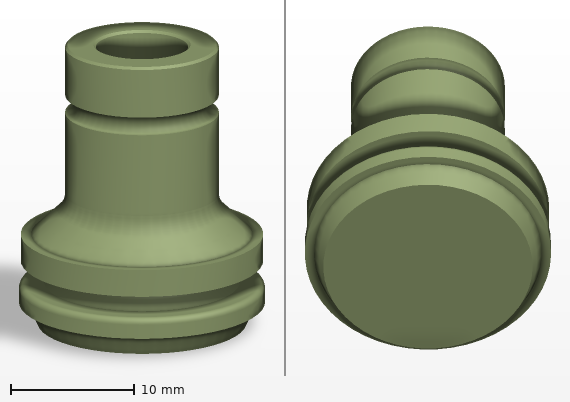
import cadquery as cq
import math

total_height = 23.66

foot_bottom_radius = 8.5
foot_top_radius = 9.25
foot_height = 1.75

lower_flange_radius = 20.0 / 2
lower_flange_top = 3.45
lower_flange_round = 0.5

throat_radius = 6.3
throat_round = 0.65
waist_cone_bottom_radius = 7.95

upper_flange_radius = 19.7 / 2
upper_flange_bottom = 5.28
upper_flange_top = 7.55

shoulder_bottom_radius = 9.0
shoulder_fillet = 2.0
shoulder_fillet_top = 11.03

neck_radius = 12.5 / 2
neck_chamfer = 0.2

ring_groove_radius = 0.75
ring_groove_center = 18.65

bore_radius = 7.5 / 2
bore_depth = 3.5
bore_chamfer = 0.2


def tangent_from_point(center_r, center_z, radius, point_r, point_z):
    """Angle on a circle where the line to an outer, lower point touches its lower inner side."""
    distance = math.hypot(point_r - center_r, point_z - center_z)
    direction = math.atan2(point_z - center_z, point_r - center_r)
    return direction - math.acos(radius / distance)


def on_circle(center_r, center_z, radius, angle):
    """Point of a circle in the (radius, height) half plane."""
    return (center_r + radius * math.cos(angle), center_z + radius * math.sin(angle))


def make_body():
    """Solid of revolution without the ring groove and the bore."""
    round_r = lower_flange_radius - lower_flange_round
    round_z = lower_flange_top - lower_flange_round
    round_middle = on_circle(round_r, round_z, lower_flange_round, math.radians(45))

    throat_r = throat_radius + throat_round
    throat_z = upper_flange_bottom - throat_round
    throat_angle = tangent_from_point(
        throat_r, throat_z, throat_round, waist_cone_bottom_radius, lower_flange_top
    )
    throat_start = on_circle(throat_r, throat_z, throat_round, throat_angle)
    throat_middle = on_circle(throat_r, throat_z, throat_round, math.pi)

    fillet_r = neck_radius + shoulder_fillet
    fillet_angle = tangent_from_point(
        fillet_r, shoulder_fillet_top, shoulder_fillet, shoulder_bottom_radius, upper_flange_top
    )
    middle_angle = (fillet_angle - math.pi) / 2
    fillet_start = on_circle(fillet_r, shoulder_fillet_top, shoulder_fillet, fillet_angle)
    fillet_middle = on_circle(fillet_r, shoulder_fillet_top, shoulder_fillet, middle_angle)

    profile = (
        cq.Workplane("XZ")
        .moveTo(0, 0)
        .lineTo(foot_bottom_radius, 0)
        .lineTo(foot_top_radius, foot_height)
        .lineTo(lower_flange_radius, foot_height)
        .lineTo(lower_flange_radius, round_z)
        .threePointArc(round_middle, (round_r, lower_flange_top))
        .lineTo(waist_cone_bottom_radius, lower_flange_top)
        .lineTo(*throat_start)
        .threePointArc(throat_middle, (throat_r, upper_flange_bottom))
        .lineTo(upper_flange_radius, upper_flange_bottom)
        .lineTo(upper_flange_radius, upper_flange_top)
        .lineTo(shoulder_bottom_radius, upper_flange_top)
        .lineTo(*fillet_start)
        .threePointArc(fillet_middle, (neck_radius, shoulder_fillet_top))
        .lineTo(neck_radius, total_height - neck_chamfer)
        .lineTo(neck_radius - neck_chamfer, total_height)
        .lineTo(0, total_height)
        .close()
    )
    return profile.revolve(360, (0, 0), (0, 1))


def make_ring_groove():
    """Torus centred on the neck surface."""
    section = cq.Workplane("XZ").center(neck_radius, ring_groove_center).circle(ring_groove_radius)
    return section.revolve(360, (-neck_radius, 0), (-neck_radius, 1))


def make_bore():
    """Blind bore with a chamfered mouth."""
    profile = (
        cq.Workplane("XZ")
        .moveTo(0, total_height - bore_depth)
        .lineTo(bore_radius, total_height - bore_depth)
        .lineTo(bore_radius, total_height - bore_chamfer)
        .lineTo(bore_radius + bore_chamfer, total_height)
        .lineTo(0, total_height)
        .close()
    )
    return profile.revolve(360, (0, 0), (0, 1))


result = make_body().cut(make_ring_groove()).cut(make_bore())